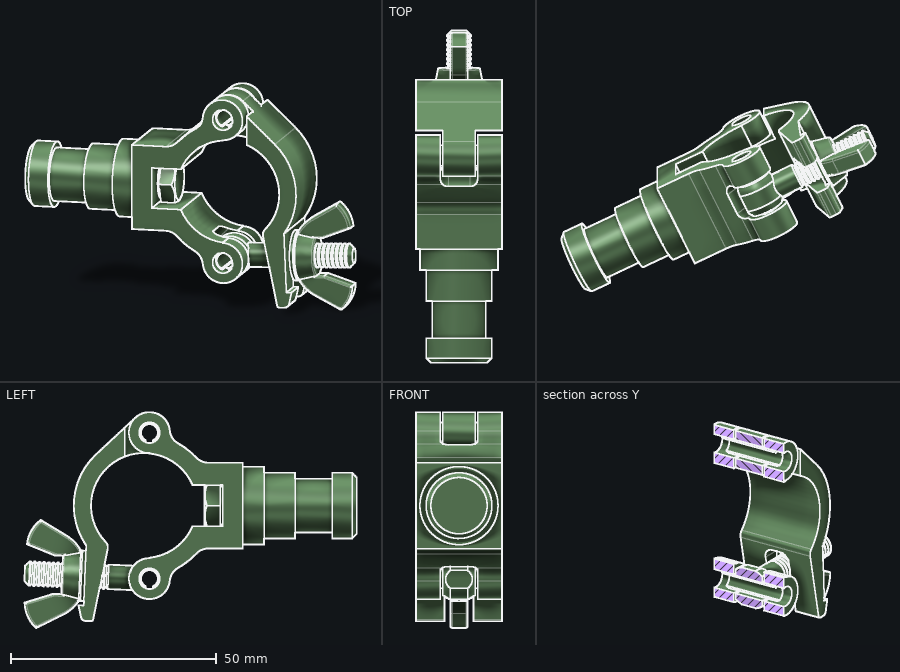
import cadquery as cq
import math


WIDTH = 20.9
BORE_R = 12.7
BASE_OUTER_R = 17.2
BLOCK_HALF_HEIGHT = WIDTH / 2
BASE_END_Y = -23.95
BLOCK_BLEND_R = 4.0
EAR_BLEND_R = 4.0

HINGE_Y = -1.22
HINGE_Z = 17.74
EAR_R = 5.0
SLOT_WIDTH = 9.0
SLOT_END_Y = -8.76
SLOT_CORNER_R = 1.85
SLOT_SLOPE = 45.0

POCKET_WIDTH = 10.0
POCKET_FLOOR_Y = -18.98

PIN_R = 2.5
PIN_WALL = 0.45
PIN_GAP = 1.7
PIN_LENGTH = 16.0
PIN_CHAMFER_LENGTH = 0.8
PIN_LAND = 0.05

TILT = 2.4
EYE_WIDTH = 8.0
EYE_CROWN_WIDTH = 4.2
EYE_SIDE_R = 4.0
EYE_FLAT = 4.5
EYE_SHOULDER_X = 3.25
EYE_SHOULDER_R = 4.5
THREAD_R = 3.0
THREAD_ROOT_R = 2.5
THREAD_TURNS = 17
THREAD_START = 10.0
BOLT_END = 30.37
BOLT_END_CHAMFER = 1.15
CREST_FLAT = 0.2
THREAD_PITCH = (BOLT_END - BOLT_END_CHAMFER - THREAD_START) / THREAD_TURNS

SEAT = 15.7
WASHER_THICKNESS = 0.85
WASHER_R = 6.15
WASHER_HOLE_R = 3.2
NUT_START = SEAT + WASHER_THICKNESS
NUT_END = 21.25
NUT_BASE_R = 6.0
NUT_TOP_R = 5.1
NUT_BASE_CHAMFER = 0.4
NUT_TOP_FILLET = 0.4
WING_THICKNESS = 4.25
WING_FILLET = 0.5
WING_ROOT = (NUT_START + NUT_BASE_CHAMFER, 6.2)
WING_ROOT_CURVE = (18.3, 7.9)
WING_SHOULDER = (20.0, 9.3)
WING_OUTER_TIP = (27.0, 13.15)
WING_TIP_CURVE = (29.2, 10.4)
WING_INNER_TIP = (30.1, 7.1)
WING_CROTCH = (23.2, 4.65)
WING_NUT_OVERLAP = 0.2

ARM_CENTRE_Y = 0.2
ARM_BORE_R = 12.75
ARM_OUTER_R = 17.0
KNUCKLE_WIDTH = 8.0
ARM_STEP_Y = 4.8
NOSE_ANGLE = -48.3
NOSE_R = 1.9
LIP_DROP = 7.15
LIP_HEIGHT = 1.3
FOOT_DROP = 10.95
FOOT_OUTER_ALONG = SEAT + 0.3
FOOT_INNER_ALONG = SEAT - 2.4
FOOT_OUTER_R = 1.2
FOOT_INNER_R = 0.6
ARM_SLOT_WIDTH = 7.0
ARM_SLOT_CORNER_R = 2.5
ARM_SLOT_TOP = 5.5

COLLAR_R = 9.5
COLLAR_LENGTH = 5.15
SPIGOT_R = 8.0
SHOULDER_LENGTH = 7.5
NECK_R = 6.55
NECK_LENGTH = 9.0
TIP_LENGTH = 6.0
TIP_CHAMFER = 1.15

HEX_ACROSS_FLATS = POCKET_WIDTH
HEX_HEIGHT = 3.9
WASHER_FACE_R = 4.6
WASHER_FACE_HEIGHT = 0.5
HEX_CHAMFER_ANGLE = 30.0
HEX_TOP_RATIO = 0.95
BOLT_SHANK_R = 3.0
BOLT_SHANK_LENGTH = 16.0

SIDE = cq.Workplane("YZ")
EDGE_REACH = 0.3


def bolt_frame():
    """Workplane whose x runs along the eye bolt and whose origin is the lower pin axis."""
    angle = math.radians(TILT)
    along = (0, math.cos(angle), math.sin(angle))
    return cq.Workplane(cq.Plane(origin=(0, HINGE_Y, -HINGE_Z), xDir=along, normal=(1, 0, 0)))


def bolt_point(along, across):
    """Y and Z of a point given in the eye bolt's own directions."""
    angle = math.radians(TILT)
    y = HINGE_Y + along * math.cos(angle) - across * math.sin(angle)
    z = -HINGE_Z + along * math.sin(angle) + across * math.cos(angle)
    return (y, z)


def circle_point(centre, radius, degrees):
    angle = math.radians(degrees)
    return (centre[0] + radius * math.cos(angle), centre[1] + radius * math.sin(angle))


def rod(y, z, radius, length):
    """Cylinder along X, centred on the clamp's middle."""
    return SIDE.center(y, z).circle(radius).extrude(length / 2, both=True)


def turned(frame, outline):
    """Solid of revolution about the frame's x axis, from (along, radius) points."""
    return frame.polyline(outline).close().revolve(360, (0, 0, 0), (1, 0, 0))


def edge_near(y, z):
    """Selector for the edge along X through the given Y and Z."""
    low = (-WIDTH, y - EDGE_REACH, z - EDGE_REACH)
    high = (WIDTH, y + EDGE_REACH, z + EDGE_REACH)
    return cq.selectors.BoxSelector(low, high)


def make_base():
    block_length = HINGE_Y - BASE_END_Y
    block = cq.Workplane().box(WIDTH, block_length, 2 * BLOCK_HALF_HEIGHT)
    block = block.translate((0, BASE_END_Y + block_length / 2, 0))
    ring = rod(0, 0, BASE_OUTER_R, WIDTH)
    behind_hinge = cq.Workplane().box(WIDTH, 4 * BASE_OUTER_R, 4 * BASE_OUTER_R)
    ring = ring.intersect(behind_hinge.translate((0, HINGE_Y - 2 * BASE_OUTER_R, 0)))
    body = block.union(ring)
    for z in (HINGE_Z, -HINGE_Z):
        body = body.union(rod(HINGE_Y, z, EAR_R, WIDTH))

    block_corner_y = -math.sqrt(BASE_OUTER_R**2 - BLOCK_HALF_HEIGHT**2)
    hinge_distance = math.hypot(HINGE_Y, HINGE_Z)
    hinge_angle = math.degrees(math.atan2(HINGE_Z, HINGE_Y))
    cosine = (BASE_OUTER_R**2 + hinge_distance**2 - EAR_R**2) / (2 * BASE_OUTER_R * hinge_distance)
    ear_corner = circle_point((0, 0), BASE_OUTER_R, hinge_angle + math.degrees(math.acos(cosine)))
    for side in (1, -1):
        body = body.edges(edge_near(block_corner_y, side * BLOCK_HALF_HEIGHT)).fillet(BLOCK_BLEND_R)
        body = body.edges(edge_near(ear_corner[0], side * ear_corner[1])).fillet(EAR_BLEND_R)

    body = body.cut(rod(0, 0, BORE_R, WIDTH))
    pocket = cq.Workplane().box(WIDTH, -POCKET_FLOOR_Y, POCKET_WIDTH)
    body = body.cut(pocket.translate((0, POCKET_FLOOR_Y / 2, 0)))

    slot_end_z = math.sqrt(BASE_OUTER_R**2 - SLOT_END_Y**2)
    slot_length = 4 * EAR_R
    slot = cq.Workplane().box(SLOT_WIDTH, slot_length, 6 * EAR_R)
    slot = slot.edges("|Z and <Y").fillet(SLOT_CORNER_R)
    slot = slot.translate((0, slot_length / 2, 0))
    slot = slot.rotate((0, 0, 0), (1, 0, 0), SLOT_SLOPE)
    slot = slot.translate((0, SLOT_END_Y, slot_end_z))
    body = body.cut(slot).cut(slot.mirror("XY"))

    for z in (HINGE_Z, -HINGE_Z):
        body = body.cut(rod(HINGE_Y, z, PIN_R, WIDTH))
    bolt_hole = cq.Workplane("XZ").circle(BOLT_SHANK_R).extrude(-BASE_END_Y)
    return body.cut(bolt_hole)


def make_arm():
    centre = (ARM_CENTRE_Y, 0)
    hinge = (HINGE_Y, HINGE_Z)
    spacing = math.hypot(hinge[0] - centre[0], hinge[1])
    lean = math.degrees(math.atan2(hinge[1], hinge[0] - centre[0]))
    tangent = lean - math.degrees(math.acos((ARM_OUTER_R - EAR_R) / spacing))

    tilt = math.radians(TILT)
    centre_along = (ARM_CENTRE_Y - HINGE_Y) * math.cos(tilt) + HINGE_Z * math.sin(tilt)
    seat_top_angle = TILT - math.degrees(math.acos((SEAT - centre_along) / ARM_OUTER_R))
    nose = circle_point(centre, ARM_BORE_R, NOSE_ANGLE)
    foot = [
        bolt_point(SEAT, -LIP_DROP),
        bolt_point(SEAT + LIP_HEIGHT, -LIP_DROP),
        bolt_point(FOOT_OUTER_ALONG, -FOOT_DROP),
        bolt_point(FOOT_INNER_ALONG, -FOOT_DROP),
    ]
    seat_top = circle_point(centre, ARM_OUTER_R, seat_top_angle)
    arm = (
        SIDE.moveTo(*circle_point(hinge, EAR_R, tangent))
        .lineTo(*circle_point(centre, ARM_OUTER_R, tangent))
        .threePointArc(circle_point(centre, ARM_OUTER_R, 0), seat_top)
    )
    for point in foot:
        arm = arm.lineTo(*point)
    arm = (
        arm.lineTo(*nose)
        .threePointArc(circle_point(centre, ARM_BORE_R, 30), circle_point(centre, ARM_BORE_R, lean))
        .lineTo(*hinge)
        .close()
        .extrude(WIDTH / 2, both=True)
    )
    arm = arm.edges(edge_near(*nose)).fillet(NOSE_R)
    arm = arm.edges(edge_near(*foot[2])).fillet(FOOT_OUTER_R)
    arm = arm.edges(edge_near(*foot[3])).fillet(FOOT_INNER_R)

    clearance = SIDE.center(ARM_STEP_Y - WIDTH / 2, HINGE_Z).rect(WIDTH, WIDTH).extrude(WIDTH / 2, both=True)
    between_ears = cq.Workplane().box(KNUCKLE_WIDTH, 4 * WIDTH, 4 * WIDTH)
    arm = arm.cut(clearance.cut(between_ears))
    arm = arm.union(rod(HINGE_Y, HINGE_Z, EAR_R, KNUCKLE_WIDTH))
    arm = arm.cut(rod(ARM_CENTRE_Y, 0, ARM_BORE_R, KNUCKLE_WIDTH))
    arm = arm.cut(rod(HINGE_Y, HINGE_Z, PIN_R, WIDTH))
    slot_depth = WIDTH
    slot = bolt_frame().center(SEAT, ARM_SLOT_TOP - slot_depth / 2).rect(WIDTH, slot_depth)
    slot = slot.extrude(ARM_SLOT_WIDTH / 2, both=True)
    slot = slot.faces(">Z").edges("<X or >X").fillet(ARM_SLOT_CORNER_R)
    return arm.cut(slot)


def make_spring_pin(z):
    inner = PIN_R - PIN_WALL
    end = PIN_LENGTH / 2
    shoulder = end - PIN_CHAMFER_LENGTH
    rim = inner + PIN_LAND
    outline = [(-end, inner), (-end, rim), (-shoulder, PIN_R), (shoulder, PIN_R), (end, rim), (end, inner)]
    pin = turned(cq.Workplane("XY"), outline)
    gap = cq.Workplane().box(PIN_LENGTH, PIN_GAP, 2 * PIN_R).translate((0, 0, -PIN_R))
    return pin.cut(gap).translate((0, HINGE_Y, z))


def make_eye_bolt():
    crown = EYE_CROWN_WIDTH / 2
    side = EYE_WIDTH / 2
    eye = (
        cq.Workplane("XY")
        .moveTo(-side, 0)
        .lineTo(-side, EYE_SIDE_R)
        .threePointArc((-EYE_SHOULDER_X, EYE_SHOULDER_R), (-crown, EAR_R))
        .lineTo(crown, EAR_R)
        .threePointArc((EYE_SHOULDER_X, EYE_SHOULDER_R), (side, EYE_SIDE_R))
        .lineTo(side, 0)
        .close()
        .revolve(360, (0, 0, 0), (1, 0, 0))
        .translate((0, HINGE_Y, -HINGE_Z))
    )
    behind = bolt_frame().center(-EYE_FLAT - EAR_R, 0).rect(2 * EAR_R, 4 * EAR_R)
    behind = behind.extrude(EYE_WIDTH, both=True)
    eye = eye.cut(behind)

    end_r = THREAD_R - BOLT_END_CHAMFER
    outline = [(0, 0), (0, THREAD_R), (THREAD_START, THREAD_R)]
    flank = (THREAD_PITCH - CREST_FLAT) / 2
    for turn in range(THREAD_TURNS):
        start = THREAD_START + turn * THREAD_PITCH
        outline.append((start + flank, THREAD_ROOT_R))
        outline.append((start + 2 * flank, THREAD_R))
        outline.append((start + THREAD_PITCH, THREAD_R))
    outline += [(BOLT_END, end_r), (BOLT_END, 0)]
    bolt = eye.union(turned(bolt_frame(), outline))
    return bolt.cut(rod(HINGE_Y, -HINGE_Z, PIN_R, WIDTH))


def make_washer():
    outline = [
        (SEAT, WASHER_HOLE_R),
        (SEAT, WASHER_R),
        (NUT_START, WASHER_R),
        (NUT_START, WASHER_HOLE_R),
    ]
    return turned(bolt_frame(), outline)


def make_wing():
    inside_nut = NUT_END - WING_NUT_OVERLAP
    wing = (
        bolt_frame()
        .moveTo(WING_ROOT[0], THREAD_R)
        .lineTo(*WING_ROOT)
        .threePointArc(WING_ROOT_CURVE, WING_SHOULDER)
        .lineTo(*WING_OUTER_TIP)
        .threePointArc(WING_TIP_CURVE, WING_INNER_TIP)
        .lineTo(*WING_CROTCH)
        .lineTo(inside_nut, WING_CROTCH[1])
        .lineTo(inside_nut, THREAD_R)
        .close()
        .extrude(WING_THICKNESS / 2, both=True)
    )
    return wing.faces("<X or >X").edges().fillet(WING_FILLET)


def make_wing_nut():
    outline = [
        (NUT_START, 0),
        (NUT_START, NUT_BASE_R - NUT_BASE_CHAMFER),
        (NUT_START + NUT_BASE_CHAMFER, NUT_BASE_R),
        (NUT_END, NUT_TOP_R),
        (NUT_END, 0),
    ]
    nut = turned(bolt_frame(), outline)
    nut = nut.faces(">Y").edges().fillet(NUT_TOP_FILLET)
    wing = make_wing()
    axis_start = (0, HINGE_Y, -HINGE_Z)
    axis_end = (0, *bolt_point(1, 0))
    nut = nut.union(wing).union(wing.rotate(axis_start, axis_end, 180))
    bore = turned(bolt_frame(), [(0, 0), (0, THREAD_R), (BOLT_END, THREAD_R), (BOLT_END, 0)])
    return nut.cut(bore)


def make_spigot():
    steps = [
        (COLLAR_R, COLLAR_LENGTH),
        (SPIGOT_R, SHOULDER_LENGTH),
        (NECK_R, NECK_LENGTH),
        (SPIGOT_R, TIP_LENGTH),
    ]
    spigot = cq.Workplane()
    start = BASE_END_Y
    for radius, length in steps:
        spigot = spigot.union(cq.Workplane("XZ", origin=(0, start, 0)).circle(radius).extrude(length))
        start -= length
    spigot = spigot.faces("<Y").chamfer(TIP_CHAMFER)
    bore = cq.Workplane("XZ", origin=(0, POCKET_FLOOR_Y, 0)).circle(BOLT_SHANK_R).extrude(BOLT_SHANK_LENGTH)
    return spigot.cut(bore)


def make_hex_bolt():
    corner_diameter = HEX_ACROSS_FLATS / math.cos(math.pi / 6)
    under_head = POCKET_FLOOR_Y + WASHER_FACE_HEIGHT
    head = (
        cq.Workplane("XZ", origin=(0, under_head, 0))
        .polygon(6, corner_diameter)
        .extrude(-HEX_HEIGHT)
    )
    flat_r = HEX_TOP_RATIO * HEX_ACROSS_FLATS / 2
    slope = math.tan(math.radians(HEX_CHAMFER_ANGLE))
    drop = (corner_diameter - flat_r) * slope
    top = under_head + HEX_HEIGHT
    bevel_outline = [
        (0, top),
        (flat_r, top),
        (corner_diameter, top - drop),
        (corner_diameter, under_head),
        (0, under_head),
    ]
    bevel = (
        cq.Workplane("XY")
        .polyline(bevel_outline)
        .close()
        .revolve(360, (0, 0, 0), (0, 1, 0))
    )
    head = head.intersect(bevel)
    floor = cq.Workplane("XZ", origin=(0, POCKET_FLOOR_Y, 0))
    washer_face = floor.circle(WASHER_FACE_R).extrude(-WASHER_FACE_HEIGHT)
    shank = floor.circle(BOLT_SHANK_R).extrude(BOLT_SHANK_LENGTH)
    return head.union(washer_face).union(shank)


base = make_base()
arm = make_arm()
pins = [make_spring_pin(z) for z in (HINGE_Z, -HINGE_Z)]
eye_bolt = make_eye_bolt()
washer = make_washer()
wing_nut = make_wing_nut()
spigot = make_spigot()
hex_bolt = make_hex_bolt()

bodies = [base, arm, *pins, eye_bolt, washer, wing_nut, spigot, hex_bolt]
result = cq.Compound.makeCompound([body.solids().val() for body in bodies])